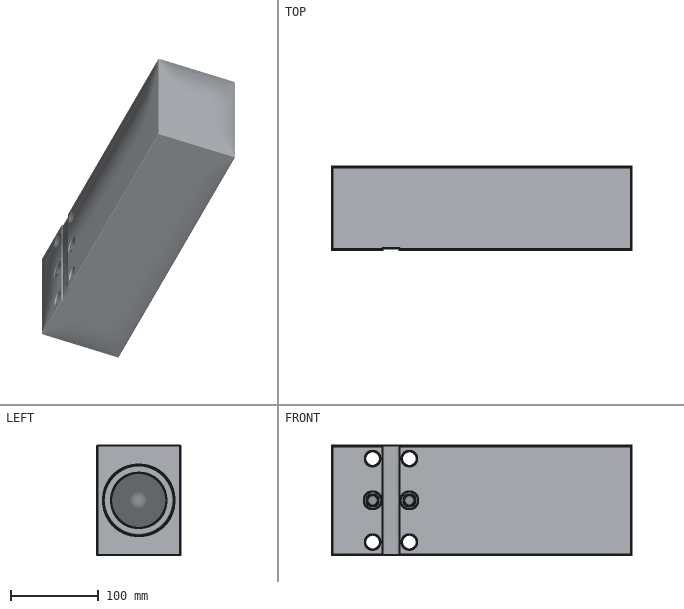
import cadquery as cq

LENGTH = 341.0
DEPTH = 95.0
HEIGHT = 125.0
EDGE_CHAMFER = 1.0
FRONT = -DEPTH / 2

BORE_DIAMETER = 63.0
BORE_END_WALL = 51.0
COUNTERBORE_DIAMETER = 80.0
COUNTERBORE_DEPTH = 14.0
MOUTH_CHAMFER = 0.7

HOLE_COLUMNS = (46.0, 88.0)
BOLT_HOLE_DIAMETER = 17.0
BOLT_HOLE_SPACING = 95.0

SLOT_CENTRE = sum(HOLE_COLUMNS) / len(HOLE_COLUMNS)
SLOT_WIDTH = 19.0
SLOT_DEPTH = 2.0

PORT_DIAMETER = 12.3
PORT_DEPTH = 5.0
PORT_CHAMFER = 0.7
SPOTFACE_DIAMETER = 20.0
SPOTFACE_DEPTH = 1.5


def make_block():
    block = cq.Workplane("XY").box(LENGTH, DEPTH, HEIGHT).translate((LENGTH / 2, 0, 0))
    return block.edges("|X").chamfer(EDGE_CHAMFER)


def make_bore():
    """Half section of the bore (distance along X, radius), turned about the X axis."""
    bore_depth = LENGTH - BORE_END_WALL
    bore_radius = BORE_DIAMETER / 2
    counterbore_radius = COUNTERBORE_DIAMETER / 2
    section = [
        (0, 0),
        (0, counterbore_radius + MOUTH_CHAMFER),
        (MOUTH_CHAMFER, counterbore_radius),
        (COUNTERBORE_DEPTH, counterbore_radius),
        (COUNTERBORE_DEPTH, bore_radius),
        (bore_depth, bore_radius),
        (bore_depth, 0),
    ]
    return cq.Workplane("XY").polyline(section).close().revolve(360, (0, 0), (1, 0))


def make_slot():
    slot = cq.Workplane("XY").box(SLOT_WIDTH, 2 * SLOT_DEPTH, HEIGHT)
    return slot.translate((SLOT_CENTRE, FRONT, 0))


def make_bolt_hole(x, z):
    """Hole running through the whole depth of the block."""
    hole = cq.Solid.makeCylinder(BOLT_HOLE_DIAMETER / 2, DEPTH, cq.Vector(x, FRONT, z), cq.Vector(0, 1, 0))
    return cq.Workplane(hole)


def make_port(x):
    """Half section of the port (radius, distance into the block), turned about its own axis."""
    port_radius = PORT_DIAMETER / 2
    spotface_radius = SPOTFACE_DIAMETER / 2
    section = [
        (0, 0),
        (spotface_radius, 0),
        (spotface_radius, SPOTFACE_DEPTH),
        (port_radius + PORT_CHAMFER, SPOTFACE_DEPTH),
        (port_radius, SPOTFACE_DEPTH + PORT_CHAMFER),
        (port_radius, PORT_DEPTH),
        (0, PORT_DEPTH),
    ]
    port = cq.Workplane("XY").polyline(section).close().revolve(360, (0, 0), (0, 1))
    return port.translate((x, FRONT, 0))


result = make_block().cut(make_bore()).cut(make_slot())
for column in HOLE_COLUMNS:
    result = result.cut(make_port(column))
    for side in (-1, 1):
        result = result.cut(make_bolt_hole(column, side * BOLT_HOLE_SPACING / 2))